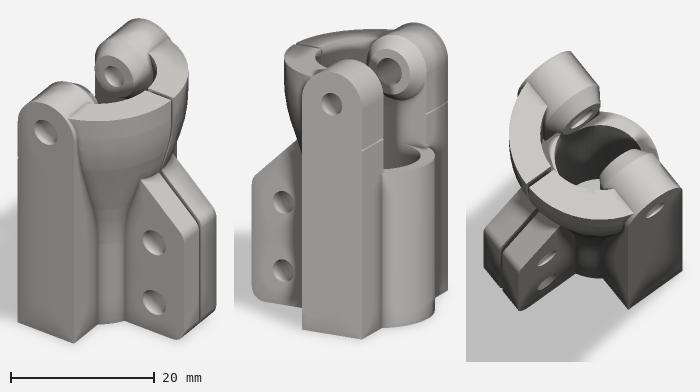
import cadquery as cq
import math

bore_radius = 6.35
sleeve_wall = 2.0
sleeve_radius = bore_radius + sleeve_wall
sleeve_height = 22.6

collar_radius = 12.7
collar_top = 37.04
flare_start = 13.47
flare_lower_arc_run = 6.4
flare_upper_arc_run = 5.8
flare_angle = math.radians(17.0)
counterbore_radius = sleeve_radius
counterbore_floor = 27.75

pillar_half_width = 4.75
pillar_height = 38.43
pivot_height = pillar_height - pillar_half_width
pillar_inner = bore_radius
pillar_outer = collar_radius
boss_length = 2.15
boss_tip_radius = 3.3

groove_bottom = 27.5
groove_root = 27.72
groove_depth = 0.15

tab_reach = 9.0
tab_end = sleeve_radius + tab_reach
tab_half_thickness = 4.0
tab_root = (bore_radius + sleeve_radius) / 2
tab_shoulder = 17.8
tab_slope = math.radians(43.3)
tab_corner_radius = 2.0
slit_width = 0.635

clearance_diameter = 3.96
thread_diameter = 3.3
tab_hole_edge_distance = 5.0
tab_hole_x = tab_end - tab_hole_edge_distance
tab_hole_heights = (5.0, 15.0)


def make_flared_half():
    """Half turn of sleeve wall that widens through two arcs into the collar."""
    lower_rise = flare_lower_arc_run * math.tan(flare_angle / 2)
    upper_rise = flare_upper_arc_run * math.tan(flare_angle / 2)
    line_rise = collar_radius - sleeve_radius - lower_rise - upper_rise
    line_start = flare_start + flare_lower_arc_run
    line_end = line_start + line_rise / math.tan(flare_angle)
    flare_end = line_end + flare_upper_arc_run
    profile = (
        cq.Workplane("XZ")
        .lineTo(sleeve_radius, 0)
        .lineTo(sleeve_radius, flare_start)
        .tangentArcPoint((sleeve_radius + lower_rise, line_start), relative=False)
        .lineTo(collar_radius - upper_rise, line_end)
        .tangentArcPoint((collar_radius, flare_end), relative=False)
        .lineTo(collar_radius, collar_top)
        .lineTo(0, collar_top)
        .close()
    )
    half = profile.revolve(180, (0, 0, 0), (0, 1, 0))
    return half.rotate((0, 0, 0), (0, 0, 1), -90)


def make_tab():
    slope_top = tab_shoulder + (tab_end - tab_root) * math.tan(tab_slope)
    tab = (
        cq.Workplane("XZ")
        .moveTo(tab_root, 0)
        .lineTo(tab_end, 0)
        .lineTo(tab_end, tab_shoulder)
        .lineTo(tab_root, slope_top)
        .close()
        .extrude(tab_half_thickness, both=True)
    )
    return tab.edges("|Y and >X").fillet(tab_corner_radius)


def make_pillar():
    """The +Y pillar with its tapered boss and groove."""
    body = (
        cq.Workplane("XZ", origin=(0, pillar_outer, 0))
        .moveTo(-pillar_half_width, 0)
        .lineTo(pillar_half_width, 0)
        .lineTo(pillar_half_width, pivot_height)
        .threePointArc((0, pillar_height), (-pillar_half_width, pivot_height))
        .close()
        .extrude(pillar_outer - pillar_inner)
    )
    boss = cq.Workplane(
        cq.Solid.makeCone(
            pillar_half_width,
            boss_tip_radius,
            boss_length,
            pnt=cq.Vector(0, pillar_inner, pivot_height),
            dir=cq.Vector(0, -1, 0),
        )
    )
    groove = (
        cq.Workplane("XZ", origin=(0, pillar_outer, 0))
        .moveTo(-pillar_half_width, groove_bottom)
        .lineTo(-pillar_half_width + groove_depth, groove_root)
        .lineTo(-pillar_half_width, counterbore_floor)
        .close()
        .extrude(pillar_outer - pillar_inner)
    )
    return body.union(boss).cut(groove)


def make_screw_hole(x, z):
    """Stepped hole along Y, changing diameter at the middle plane."""
    centre = cq.Workplane("XZ").center(x, z)
    clearance = centre.circle(clearance_diameter / 2).extrude(pillar_outer)
    thread = centre.circle(thread_diameter / 2).extrude(-pillar_outer)
    return clearance.union(thread)


sleeve = cq.Workplane("XY").circle(sleeve_radius).extrude(sleeve_height)
body = sleeve.union(make_flared_half()).union(make_tab())

bore = cq.Workplane("XY").circle(bore_radius).extrude(collar_top)
counterbore = (
    cq.Workplane("XY", origin=(0, 0, counterbore_floor))
    .circle(counterbore_radius)
    .extrude(collar_top - counterbore_floor)
)
slit = cq.Workplane("XY").box(
    tab_end, slit_width, collar_top, centered=(False, True, False)
)
body = body.cut(bore).cut(counterbore).cut(slit)

pillar = make_pillar()
body = body.union(pillar).union(pillar.mirror("XZ"))

body = body.cut(make_screw_hole(0, pivot_height))
for height in tab_hole_heights:
    body = body.cut(make_screw_hole(tab_hole_x, height))

result = body